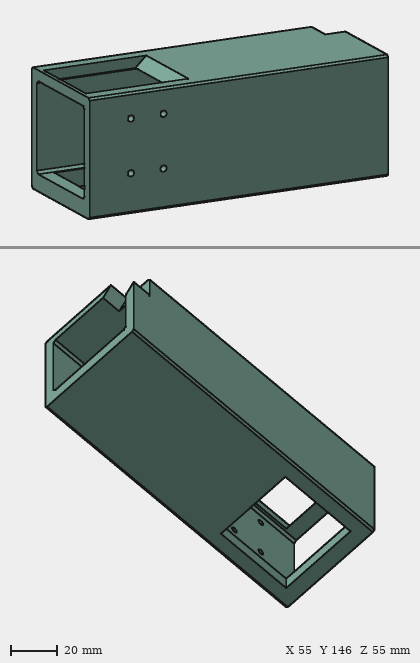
import cadquery as cq

LENGTH = 146.0
SIZE = 55.0
WALL = 5.0
FLOOR = 7.9
OUTER_CHAMFER = 1.0
INNER_CHAMFER = 1.3

WINDOW_WIDTH = 40.2
TOP_WINDOW_FRONT = 2.0
TOP_WINDOW_BACK = 52.1
WINDOW_BEVEL = 5.3
BOTTOM_WINDOW_FRONT = TOP_WINDOW_FRONT + WINDOW_BEVEL
BOTTOM_WINDOW_BACK = TOP_WINDOW_BACK - WINDOW_BEVEL

NOTCH_SIDE = 14.2
NOTCH_DEPTH = 9.8

HOLE_DIAMETER = 2.9
HOLE_FIRST_Y = 20.3
HOLE_PITCH_Y = 15.9
HOLE_UPPER_Z = 43.2
HOLE_PITCH_Z = 24.8


def make_tube():
    outer = cq.Workplane("XY").box(SIZE, LENGTH, SIZE, centered=(True, False, False))
    outer = outer.edges("|Y").chamfer(OUTER_CHAMFER)
    bore = cq.Workplane("XY").box(
        SIZE - 2 * WALL, LENGTH, SIZE - WALL - FLOOR, centered=(True, False, False)
    )
    bore = bore.edges("|Y").chamfer(INNER_CHAMFER).translate((0, 0, FLOOR))
    return outer.cut(bore)


def make_top_window():
    """Opening whose front and back faces lean inward through the top wall."""
    roof = SIZE - WALL
    return (
        cq.Workplane("YZ")
        .moveTo(TOP_WINDOW_FRONT, SIZE)
        .lineTo(TOP_WINDOW_BACK, SIZE)
        .lineTo(TOP_WINDOW_BACK - WINDOW_BEVEL, roof)
        .lineTo(TOP_WINDOW_FRONT + WINDOW_BEVEL, roof)
        .close()
        .extrude(WINDOW_WIDTH / 2, both=True)
    )


def make_bottom_window():
    return (
        cq.Workplane("XY")
        .box(WINDOW_WIDTH, BOTTOM_WINDOW_BACK - BOTTOM_WINDOW_FRONT, FLOOR, centered=(True, False, False))
        .translate((0, BOTTOM_WINDOW_FRONT, 0))
    )


def make_notch():
    """Corner cut that widens at 45 degrees as it passes through the two walls."""
    left = -SIZE / 2
    return (
        cq.Workplane("XZ", origin=(0, LENGTH, 0))
        .moveTo(left, SIZE)
        .lineTo(left + NOTCH_SIDE, SIZE)
        .lineTo(left + NOTCH_SIDE + WALL, SIZE - WALL)
        .lineTo(left + WALL, SIZE - NOTCH_SIDE - WALL)
        .lineTo(left, SIZE - NOTCH_SIDE)
        .close()
        .extrude(NOTCH_DEPTH)
    )


def make_holes():
    points = [
        (HOLE_FIRST_Y + i * HOLE_PITCH_Y, HOLE_UPPER_Z - j * HOLE_PITCH_Z)
        for i in range(2)
        for j in range(2)
    ]
    return (
        cq.Workplane("YZ", origin=(SIZE / 2 - WALL, 0, 0))
        .pushPoints(points)
        .circle(HOLE_DIAMETER / 2)
        .extrude(WALL)
    )


result = (
    make_tube()
    .cut(make_top_window())
    .cut(make_bottom_window())
    .cut(make_notch())
    .cut(make_holes())
)